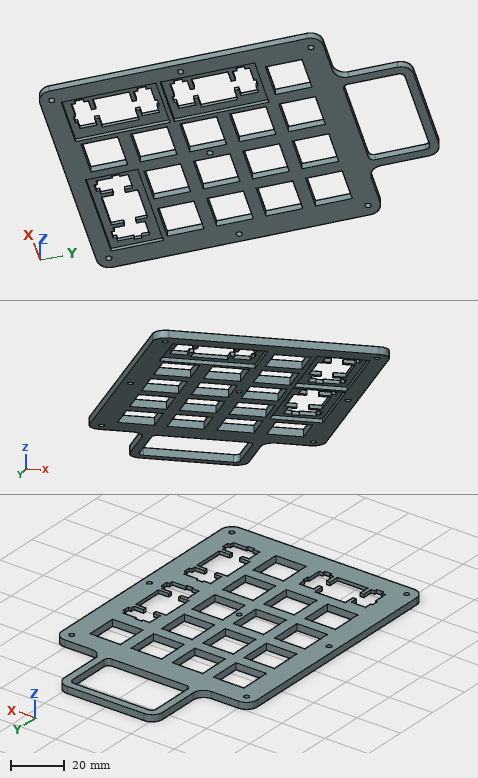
import cadquery as cq

plate_width = 90.2
total_length = 137.8
plate_length = 109.1
thickness = 3.0
corner_radius = 5.0

handle_width = 45.5
handle_wall = 3.5
handle_length = total_length - plate_length
window_width = handle_width - 2 * handle_wall
window_length = 23.5
window_radius = 2.0

key_pitch = 19.0
key_size = 14.0
columns = 4
rows = 5

screw_diameter = 2.2
corner_screw_inset = 4.7
side_screw_inset = 3.6

stabilizer_offset = 12.0
wing_width = 6.6
wing_top = 5.5
wing_bottom = -6.7
foot_width = 3.2
foot_bottom = -8.0
end_notch_reach = 16.1
end_notch_top = 2.3
end_notch_bottom = -0.5
channel_height = 4.5

relief_depth = 1.5
relief_margin = 2.0

top_edge = plate_length / 2
handle_top = top_edge + handle_length


def box_between(x_min, x_max, y_min, y_max):
    """Block through the full plate thickness between the given limits."""
    return (
        cq.Workplane("XY")
        .box(x_max - x_min, y_max - y_min, thickness, centered=False)
        .translate((x_min, y_min, 0))
    )


def centred_box(width, length):
    return box_between(-width / 2, width / 2, -length / 2, length / 2)


def key_position(column, row):
    """Key centre; columns count from -X, rows from +Y, halves lie between two keys."""
    x = (column - (columns - 1) / 2) * key_pitch
    y = ((rows - 1) / 2 - row) * key_pitch
    return x, y


def make_plate():
    body = centred_box(plate_width, plate_length)
    handle = box_between(-handle_width / 2, handle_width / 2, 0, handle_top)
    plate = body.union(handle).edges("|Z").fillet(corner_radius)

    window_top = handle_top - handle_wall
    window = box_between(
        -window_width / 2, window_width / 2, window_top - window_length, window_top
    )
    return plate.cut(window.edges("|Z").fillet(window_radius))


def make_double_key_cutout():
    """Key opening with a stabilizer wing on each side, joined by a channel.

    A shallow rectangular relief around the whole opening is cut from below.
    """
    cutout = centred_box(key_size, key_size)
    cutout = cutout.union(centred_box(2 * stabilizer_offset, channel_height))
    cutout = cutout.union(
        box_between(-end_notch_reach, end_notch_reach, end_notch_bottom, end_notch_top)
    )
    for side in (-1, 1):
        x = side * stabilizer_offset
        wing = box_between(x - wing_width / 2, x + wing_width / 2, wing_bottom, wing_top)
        foot = box_between(x - foot_width / 2, x + foot_width / 2, foot_bottom, 0)
        cutout = cutout.union(wing).union(foot)

    relief_half_length = end_notch_reach + relief_margin
    relief_half_width = -foot_bottom + relief_margin
    relief = (
        cq.Workplane("XY")
        .rect(2 * relief_half_length, 2 * relief_half_width)
        .extrude(relief_depth)
    )
    return cutout.union(relief)


def cut_single_keys(plate):
    last_column = columns - 1
    last_row = rows - 1
    keys = [(column, row) for column in range(last_column) for row in range(last_row)]
    keys += [(last_column, 0), (last_column - 1, last_row)]
    centres = [key_position(column, row) for column, row in keys]
    openings = (
        cq.Workplane("XY").pushPoints(centres).rect(key_size, key_size).extrude(thickness)
    )
    return plate.cut(openings)


def cut_double_keys(plate):
    wide_cutout = make_double_key_cutout()
    tall_cutout = wide_cutout.rotate((0, 0, 0), (0, 0, 1), 90)
    placements = [
        (wide_cutout, 0.5, rows - 1),
        (tall_cutout, columns - 1, 1.5),
        (tall_cutout, columns - 1, 3.5),
    ]
    for cutout, column, row in placements:
        x, y = key_position(column, row)
        plate = plate.cut(cutout.translate((x, y, 0)))
    return plate


def cut_screw_holes(plate):
    corner_x = plate_width / 2 - corner_screw_inset
    corner_y = plate_length / 2 - corner_screw_inset
    side_x = plate_width / 2 - side_screw_inset
    centres = [(sx * corner_x, sy * corner_y) for sx in (-1, 1) for sy in (-1, 1)]
    centres += [(-side_x, 0), (0, 0), (side_x, 0)]
    holes = (
        cq.Workplane("XY")
        .pushPoints(centres)
        .circle(screw_diameter / 2)
        .extrude(thickness)
    )
    return plate.cut(holes)


result = cut_screw_holes(cut_double_keys(cut_single_keys(make_plate())))